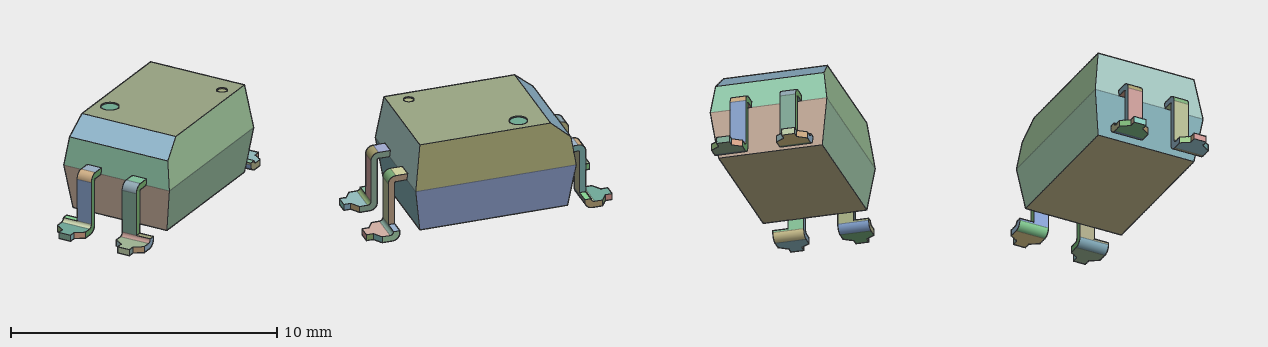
import cadquery as cq
import math

BODY_X = 4.58
BODY_Y = 6.4
BODY_BOTTOM = 0.36
PARTING_Z = 2.18
BODY_TOP = 4.0
DRAFT_INSET = 0.25
BEVEL_TOP_Y = -2.26
BEVEL_LOW_Z = 3.32

MARK_DEPTH = 0.05
MARKS = [
    (0.7, -1.43, -1.2),
    (0.4, 1.52, 2.14),
]

LEAD_SPAN = 9.8
THICKNESS = 0.25
SHANK_OUTER_Y = 3.94
OUTER_RADIUS = 0.3
FOOT_INNER_RADIUS = 0.14
SHANK_INNER_X = 0.67
SHANK_WIDTH = 0.62
FOOT_WIDTH = 1.22
TIP_WIDTH = 0.51
TIP_LENGTH = 0.27
TAPER_LENGTH = 0.24

TIP_Y = LEAD_SPAN / 2
SHANK_INNER_Y = SHANK_OUTER_Y - THICKNESS
LEAD_TOP = PARTING_Z + THICKNESS
TOP_INNER_RADIUS = OUTER_RADIUS - THICKNESS
SHANK_BOTTOM = THICKNESS + FOOT_INNER_RADIUS
FOOT_BEND_Y = SHANK_OUTER_Y + FOOT_INNER_RADIUS


def tapered_half(height):
    """Frustum from the parting plane, up for a positive height and down for a negative one."""
    return (
        cq.Workplane("XY", origin=(0, 0, PARTING_Z))
        .rect(BODY_X, BODY_Y)
        .workplane(offset=height)
        .rect(BODY_X - 2 * DRAFT_INSET, BODY_Y - 2 * DRAFT_INSET)
        .loft(ruled=True)
    )


def front_bevel():
    """Wedge removed from the upper front edge of the housing."""
    wall_lean = DRAFT_INSET / (BODY_TOP - PARTING_Z)
    low_y = -BODY_Y / 2 + (BEVEL_LOW_Z - PARTING_Z) * wall_lean
    slope = (BODY_TOP - BEVEL_LOW_Z) / (BEVEL_TOP_Y - low_y)
    outside_y = -BODY_Y / 2
    outside_z = BEVEL_LOW_Z + (outside_y - low_y) * slope
    return (
        cq.Workplane("YZ")
        .polyline([(BEVEL_TOP_Y, BODY_TOP), (outside_y, BODY_TOP), (outside_y, outside_z)])
        .close()
        .extrude(BODY_X / 2, both=True)
    )


def make_housing():
    upper = tapered_half(BODY_TOP - PARTING_Z).cut(front_bevel())
    lower = tapered_half(BODY_BOTTOM - PARTING_Z)
    housing = upper.union(lower)
    for diameter, x, y in MARKS:
        mark = (
            cq.Workplane("XY", origin=(x, y, BODY_TOP - MARK_DEPTH))
            .circle(diameter / 2)
            .extrude(MARK_DEPTH)
        )
        housing = housing.cut(mark)
    return housing


def arc_middle(center_y, center_z, radius, angle):
    """Point on a bend at the given angle in degrees, as (y, z)."""
    turn = math.radians(angle)
    return (center_y + radius * math.cos(turn), center_z + radius * math.sin(turn))


def lead_strip():
    """Bent strip of the rear right lead, as wide as its foot and starting inside the housing."""
    start_y = BODY_Y / 2 - DRAFT_INSET
    top_bend = (SHANK_OUTER_Y - OUTER_RADIUS, LEAD_TOP - OUTER_RADIUS)
    foot_inner = (FOOT_BEND_Y, SHANK_BOTTOM)
    foot_outer = (SHANK_INNER_Y + OUTER_RADIUS, OUTER_RADIUS)
    return (
        cq.Workplane("YZ", origin=(SHANK_INNER_X, 0, 0))
        .moveTo(start_y, LEAD_TOP)
        .lineTo(top_bend[0], LEAD_TOP)
        .threePointArc(arc_middle(*top_bend, OUTER_RADIUS, 45), (SHANK_OUTER_Y, top_bend[1]))
        .lineTo(SHANK_OUTER_Y, SHANK_BOTTOM)
        .threePointArc(arc_middle(*foot_inner, FOOT_INNER_RADIUS, 225), (FOOT_BEND_Y, THICKNESS))
        .lineTo(TIP_Y, THICKNESS)
        .lineTo(TIP_Y, 0)
        .lineTo(foot_outer[0], 0)
        .threePointArc(arc_middle(*foot_outer, OUTER_RADIUS, 225), (SHANK_INNER_Y, OUTER_RADIUS))
        .lineTo(SHANK_INNER_Y, top_bend[1])
        .threePointArc(arc_middle(*top_bend, TOP_INNER_RADIUS, 45), (top_bend[0], PARTING_Z))
        .lineTo(start_y, PARTING_Z)
        .close()
        .extrude(FOOT_WIDTH)
    )


def shank_relief():
    """Block that narrows the strip to the shank width above the foot bend."""
    return cq.Workplane("XY").box(
        FOOT_WIDTH - SHANK_WIDTH, TIP_Y, LEAD_TOP - SHANK_BOTTOM, centered=False
    ).translate((SHANK_INNER_X + SHANK_WIDTH, 0, SHANK_BOTTOM))


def foot_outline():
    """Upright prism whose plan is the foot necking down to its narrow tip."""
    left = SHANK_INNER_X
    right = left + FOOT_WIDTH
    tip_left = left + (FOOT_WIDTH - TIP_WIDTH) / 2
    tip_right = tip_left + TIP_WIDTH
    neck_y = TIP_Y - TIP_LENGTH
    shoulder_y = neck_y - TAPER_LENGTH
    return (
        cq.Workplane("XY")
        .polyline([
            (left, 0),
            (right, 0),
            (right, shoulder_y),
            (tip_right, neck_y),
            (tip_right, TIP_Y),
            (tip_left, TIP_Y),
            (tip_left, neck_y),
            (left, shoulder_y),
        ])
        .close()
        .extrude(LEAD_TOP)
    )


def make_lead(housing, side_x, side_y):
    """One lead, mirrored to its corner and ending flush on the housing wall."""
    lead = lead_strip().cut(shank_relief()).intersect(foot_outline())
    if side_x < 0:
        lead = lead.mirror("YZ")
    if side_y < 0:
        lead = lead.mirror("XZ")
    return lead.cut(housing)


housing = make_housing()
leads = [make_lead(housing, side_x, side_y) for side_x in (-1, 1) for side_y in (-1, 1)]

result = cq.Compound.makeCompound([housing.val(), *[lead.val() for lead in leads]])